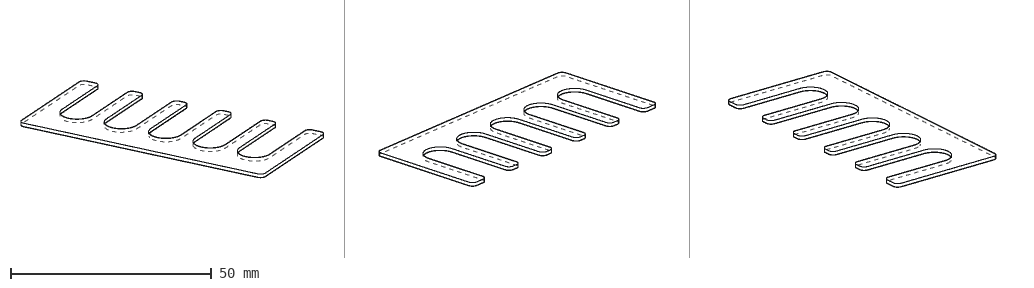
import cadquery as cq

length = 69.85
width = 31.8
thickness = 1.0
corner_radius = 1.4

slot_count = 5
slot_pitch = 12.7
slot_width = 8.6
slot_depth = 23.4


def make_plate():
    return cq.Workplane("XY").box(length, width, thickness)


def make_slot(x):
    """Cutter with a semicircular bottom, reaching the +Y edge of the plate."""
    radius = slot_width / 2
    edge_y = width / 2
    bottom_y = edge_y - slot_depth
    return (
        cq.Workplane("XY", origin=(x, 0, -thickness / 2))
        .moveTo(-radius, edge_y)
        .lineTo(-radius, bottom_y + radius)
        .threePointArc((0, bottom_y), (radius, bottom_y + radius))
        .lineTo(radius, edge_y)
        .close()
        .extrude(thickness)
    )


plate = make_plate()
for index in range(slot_count):
    slot_x = (index - (slot_count - 1) / 2) * slot_pitch
    plate = plate.cut(make_slot(slot_x))

tip_corners = plate.faces(">Y").edges("|Z")
base_corners = plate.faces("<Y").edges("|Z")
result = plate.newObject(tip_corners.vals() + base_corners.vals()).fillet(corner_radius)